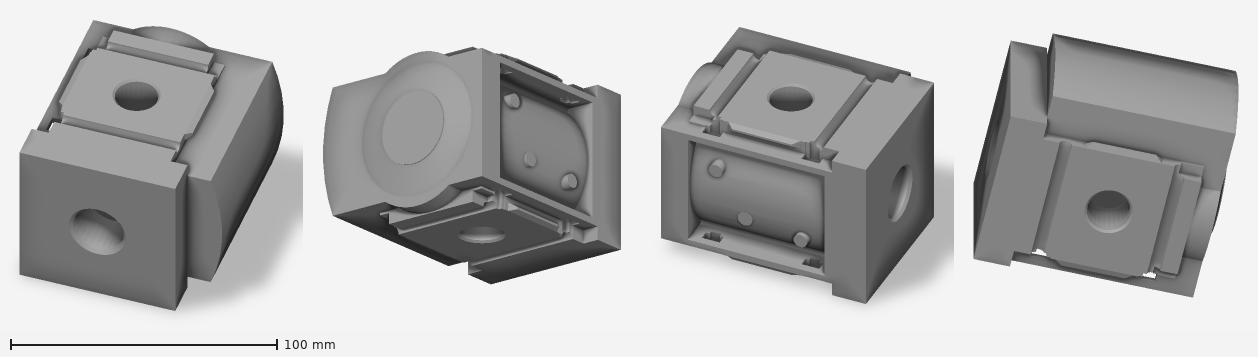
import cadquery as cq
import math

BODY_SIDE = 62.0
BODY_HALF = BODY_SIDE / 2
BODY_LENGTH = 76.1
OVERALL_WIDTH = 75.8
OVERALL_LENGTH = 87.2

FRONT_BLOCK = 14.0
RIB_HALF_WIDTH = 24.2
PLATE_HALF_HEIGHT = 25.6

COVER_LENGTH = 8.55
COVER_BACK = BODY_LENGTH + COVER_LENGTH
PANEL_EDGE_X = 40.2
LOBE_HALF_CHORD = 15.1
LOBE_TOP = 30.6

DIAL_BASE_RADIUS = 26.2
DIAL_CONE_TIP_RADIUS = 14.8
DIAL_CAP_DIAMETER = 29.0
DIAL_CAP_THICKNESS = 0.4

GROOVE_RADIUS = 2.35
FRONT_GROOVE_Y = 22.85
REAR_GROOVE_Y = 67.2
LEDGE_HALF_HEIGHT = 26.6
LEDGE_INNER_X = 20.0

PAD_CENTER_Y = 45.0
PAD_BASE_LENGTH = 29.9
PAD_TIP_LENGTH = 24.5
PAD_PROJECTION = 2.35
PAD_BASE_Z = (27.6, BODY_HALF)
PAD_TIP_Z = (29.2, 30.1)

WINDOW_FRONT_Y = 17.1
WINDOW_BACK_Y = 73.5
WINDOW_HALF_HEIGHT = 23.0
CORE_RADIUS = 28.8
SEAM_RADIUS = 1.2

PIN_DIAMETER = 5.5
MIDDLE_PIN_DIAMETER = 5.9
PIN_LENGTH = 13.95
PINS = [
    (PIN_DIAMETER, 62.7, 11.1, -29.65),
    (MIDDLE_PIN_DIAMETER, 51.2, -8.6, -28.25),
    (PIN_DIAMETER, 27.7, -11.0, -29.65),
]

SLOT_CENTERS_Y = (24.5, 65.6)
SLOT_OUTER_X = -27.6
SLOT_STEP_X = -23.9
SLOT_INNER_X = -22.5
SLOT_WIDE = 7.3
SLOT_NARROW = 4.1

PORT_TAPER = 1 / 16
FRONT_PORT = (11.25, 10.1, 9.6)
TOP_PORT = (9.1, 8.2, 7.7)
TOP_PORT_Y = PAD_CENTER_Y


def block(x_range, y_range, z_range):
    """Box between the given limits."""
    size = [limits[1] - limits[0] for limits in (x_range, y_range, z_range)]
    corner = (x_range[0], y_range[0], z_range[0])
    return cq.Workplane("XY").box(*size, centered=False).translate(corner)


def rod_along_y(radius, x, z, y_start, y_end):
    """Round bar parallel to Y."""
    rod = cq.Solid.makeCylinder(radius, y_end - y_start, cq.Vector(x, y_start, z), cq.Vector(0, 1, 0))
    return cq.Workplane(obj=rod)


def both_heights(shape):
    """The shape together with its mirror image in the XY plane."""
    return shape.union(shape.mirror("XY"))


def all_corners(shape):
    """The shape mirrored in the XY and YZ planes."""
    return both_heights(shape.union(shape.mirror("YZ")))


def make_body():
    body = block((-BODY_HALF, BODY_HALF), (0, BODY_LENGTH), (-BODY_HALF, BODY_HALF))
    relief = block(
        (RIB_HALF_WIDTH, BODY_HALF), (FRONT_BLOCK, BODY_LENGTH), (PLATE_HALF_HEIGHT, BODY_HALF)
    )
    return body.cut(all_corners(relief))


def make_cover():
    bulge_x = OVERALL_WIDTH - BODY_HALF
    low, high = -PLATE_HALF_HEIGHT, PLATE_HALF_HEIGHT
    back = (
        cq.Workplane("XZ", origin=(0, COVER_BACK, 0))
        .moveTo(-BODY_HALF, low)
        .lineTo(-LOBE_HALF_CHORD, low)
        .threePointArc((0, -LOBE_TOP), (LOBE_HALF_CHORD, low))
        .lineTo(BODY_HALF, low)
        .lineTo(BODY_HALF, high)
        .lineTo(LOBE_HALF_CHORD, high)
        .threePointArc((0, LOBE_TOP), (-LOBE_HALF_CHORD, high))
        .lineTo(-BODY_HALF, high)
        .close()
        .extrude(COVER_LENGTH)
    )
    panel = (
        cq.Workplane("XZ", origin=(0, COVER_BACK, 0))
        .moveTo(BODY_HALF, low)
        .lineTo(PANEL_EDGE_X, low)
        .threePointArc((bulge_x, 0), (PANEL_EDGE_X, high))
        .lineTo(BODY_HALF, high)
        .close()
        .extrude(COVER_BACK - FRONT_BLOCK)
    )
    return back.union(panel)


def make_dial():
    cap_radius = DIAL_CAP_DIAMETER / 2
    cap_base = OVERALL_LENGTH - DIAL_CAP_THICKNESS
    return (
        cq.Workplane("XY")
        .moveTo(0, COVER_BACK)
        .lineTo(DIAL_BASE_RADIUS, COVER_BACK)
        .lineTo(DIAL_CONE_TIP_RADIUS, cap_base)
        .lineTo(cap_radius, cap_base)
        .lineTo(cap_radius, OVERALL_LENGTH)
        .lineTo(0, OVERALL_LENGTH)
        .close()
        .revolve(360, (0, 0, 0), (0, 1, 0))
    )


def make_pads():
    def section(x, length, z_limits):
        center = (x, PAD_CENTER_Y, sum(z_limits) / 2)
        return cq.Workplane("YZ", origin=center).rect(length, z_limits[1] - z_limits[0]).wires().val()

    base = section(RIB_HALF_WIDTH, PAD_BASE_LENGTH, PAD_BASE_Z)
    tip = section(RIB_HALF_WIDTH + PAD_PROJECTION, PAD_TIP_LENGTH, PAD_TIP_Z)
    return all_corners(cq.Workplane(obj=cq.Solid.makeLoft([base, tip], True)))


def make_grooves():
    grooves = cq.Workplane("YZ", origin=(-RIB_HALF_WIDTH, 0, 0)).pushPoints(
        [(FRONT_GROOVE_Y, BODY_HALF), (REAR_GROOVE_Y, BODY_HALF)]
    )
    return both_heights(grooves.circle(GROOVE_RADIUS).extrude(2 * RIB_HALF_WIDTH))


def make_ledges():
    ledge = block(
        (LEDGE_INNER_X, RIB_HALF_WIDTH), (REAR_GROOVE_Y, BODY_LENGTH), (LEDGE_HALF_HEIGHT, BODY_HALF)
    )
    return all_corners(ledge)


def make_window():
    """Window space left around the core, with a round seam above and below it."""
    seam_z = WINDOW_HALF_HEIGHT - SEAM_RADIUS
    seam_x = -math.sqrt(CORE_RADIUS**2 - (seam_z - SEAM_RADIUS) ** 2)
    window = block(
        (-BODY_HALF, seam_x),
        (WINDOW_FRONT_Y, WINDOW_BACK_Y),
        (-WINDOW_HALF_HEIGHT, WINDOW_HALF_HEIGHT),
    )
    core = rod_along_y(CORE_RADIUS, 0, 0, WINDOW_FRONT_Y, WINDOW_BACK_Y)
    seam = rod_along_y(SEAM_RADIUS, seam_x, seam_z, WINDOW_FRONT_Y, WINDOW_BACK_Y)
    return window.cut(core).union(both_heights(seam))


def make_pins():
    pins = cq.Workplane("XY")
    for diameter, y, z, end_x in PINS:
        pin = cq.Workplane("YZ", origin=(end_x, y, z)).circle(diameter / 2).extrude(PIN_LENGTH)
        pins = pins.union(pin)
    return pins


def make_slots():
    slots = cq.Workplane("XY")
    z_range = (WINDOW_HALF_HEIGHT, BODY_HALF)
    for y in SLOT_CENTERS_Y:
        wide = block((SLOT_OUTER_X, SLOT_STEP_X), (y - SLOT_WIDE / 2, y + SLOT_WIDE / 2), z_range)
        narrow = block((SLOT_STEP_X, SLOT_INNER_X), (y - SLOT_NARROW / 2, y + SLOT_NARROW / 2), z_range)
        slots = slots.union(wide).union(narrow)
    return both_heights(slots)


def make_port(mouth_radius, bore_radius, floor_radius):
    """Tapered blind port along -Z with its countersunk mouth at z = 0."""
    chamfer = mouth_radius - bore_radius
    depth = chamfer + 2 * (bore_radius - floor_radius) / PORT_TAPER
    return (
        cq.Workplane("XZ")
        .polyline(
            [(0, 0), (mouth_radius, 0), (bore_radius, -chamfer), (floor_radius, -depth), (0, -depth)]
        )
        .close()
        .revolve(360, (0, 0, 0), (0, 1, 0))
    )


front_port = make_port(*FRONT_PORT).rotate((0, 0, 0), (1, 0, 0), 90)
top_port = make_port(*TOP_PORT).translate((0, TOP_PORT_Y, BODY_HALF))

result = (
    make_body()
    .union(make_cover())
    .union(make_dial())
    .union(make_pads())
    .cut(make_grooves())
    .cut(make_ledges())
    .cut(make_window())
    .cut(make_slots())
    .union(make_pins())
    .cut(front_port)
    .cut(both_heights(top_port))
)